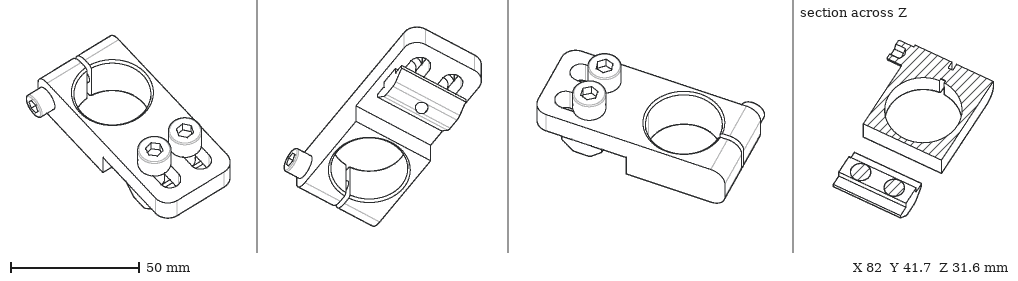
import cadquery as cq
import math

length = 82.0
width = 35.0
block_height = 20.0
plate_thickness = block_height / 2
block_length = 42.0
corner_radius = 6.0
step_z = block_height - plate_thickness

bore_x = 25.0
bore_diameter = 30.0
bore_chamfer = 1.0
split_width = 2.0

clamp_head_diameter = 10.0
clamp_head_height = 6.7
clamp_shank_diameter = 6.0
clamp_socket_flats = 5.0
clamp_socket_tip_depth = 1.6
clamp_x = corner_radius
clamp_z = block_height / 2

screw_x = 62.0
screw_spacing = 15.0
screw_head_diameter = 13.0
screw_head_height = 8.8
screw_shank_diameter = 8.0
screw_socket_flats = 6.0
screw_socket_turns = {-1: 44, 1: 38}
slot_width = 8.5
slot_travel = 10.0

head_rim_radius = 0.5
socket_depth = 4.0

nut_length = 30.0
nut_neck_width = 8.2
nut_width = 17.05
nut_gap = 0.6
nut_neck_height = 2.9
nut_edge_height = 1.7
nut_height = 9.6
nut_keel_radius = 2.8
ball_diameter = 4.9
ball_projection = 2.55


def clamp_body():
    """Stepped block with rounded ends, a chamfered bore and a split."""
    body = (
        cq.Workplane("XZ")
        .polyline([
            (0, 0),
            (block_length, 0),
            (block_length, step_z),
            (length, step_z),
            (length, block_height),
            (0, block_height),
        ])
        .close()
        .extrude(width / 2, both=True)
    )
    body = body.edges("|Y and <X").fillet(corner_radius)
    body = body.edges("|Z and >X").fillet(corner_radius)

    bore = (
        cq.Workplane("XY")
        .center(bore_x, 0)
        .circle(bore_diameter / 2)
        .extrude(block_height)
    )
    rim_radius = bore_diameter / 2 + bore_chamfer
    bottom_cone = cq.Solid.makeCone(rim_radius, 0, rim_radius, cq.Vector(bore_x, 0, 0))
    top_cone = cq.Solid.makeCone(
        rim_radius, 0, rim_radius, cq.Vector(bore_x, 0, block_height), cq.Vector(0, 0, -1)
    )
    split = cq.Workplane("XY").box(
        bore_x, split_width, block_height, centered=(False, True, False)
    )
    return body.cut(bore).cut(bottom_cone).cut(top_cone).cut(split)


def slot(y):
    """Through slot that starts at the plate screw and runs towards the plate end."""
    return (
        cq.Workplane("XY", origin=(screw_x + slot_travel / 2, y, step_z))
        .slot2D(slot_travel + slot_width, slot_width)
        .extrude(plate_thickness)
    )


def cap_screw(head_diameter, head_height, shank_diameter, shank_length, socket_flats, turn, tip_depth=0):
    """Socket-head screw along Z with the underside of its head at the origin."""
    head = (
        cq.Workplane("XY")
        .circle(head_diameter / 2)
        .extrude(head_height)
        .edges(">Z")
        .fillet(head_rim_radius)
    )
    shank = cq.Workplane("XY").circle(shank_diameter / 2).extrude(-shank_length)

    socket_corners = socket_flats / math.cos(math.radians(30))
    socket = cq.Workplane("XY").polygon(6, socket_corners).extrude(-socket_depth - tip_depth)
    if tip_depth > 0:
        drill = (
            cq.Workplane("XZ")
            .polyline([
                (0, 0),
                (socket_corners / 2, 0),
                (socket_corners / 2, -socket_depth),
                (0, -socket_depth - tip_depth),
            ])
            .close()
            .revolve(360, (0, 0), (0, 1))
        )
        socket = socket.intersect(drill)
    socket = socket.rotate((0, 0, 0), (0, 0, 1), turn).translate((0, 0, head_height))
    return head.union(shank).cut(socket)


def clamp_screw():
    """Screw along Y whose head rests on the -Y side and whose shank crosses the split."""
    screw = cap_screw(
        clamp_head_diameter, clamp_head_height, clamp_shank_diameter,
        (width + split_width) / 2, clamp_socket_flats,
        turn=0, tip_depth=clamp_socket_tip_depth,
    )
    return screw.rotate((0, 0, 0), (1, 0, 0), 90).translate((clamp_x, -width / 2, clamp_z))


def plate_screw(side):
    """Vertical screw whose shank passes through its slot into the T-nut."""
    screw = cap_screw(
        screw_head_diameter, screw_head_height, screw_shank_diameter,
        plate_thickness + nut_gap + nut_neck_height,
        screw_socket_flats, screw_socket_turns[side],
    )
    return screw.translate((screw_x, side * screw_spacing / 2, block_height))


def t_nut():
    """Necked nut along Y with a tapered, rounded keel and a ball in its underside."""
    top = step_z - nut_gap
    shoulder = top - nut_neck_height
    edge = shoulder - nut_edge_height
    bottom = top - nut_height
    keel_half_width = nut_width / 2 - (edge - bottom)
    nut = (
        cq.Workplane("XZ", origin=(screw_x, 0, 0))
        .polyline([
            (-nut_neck_width / 2, top),
            (nut_neck_width / 2, top),
            (nut_neck_width / 2, shoulder),
            (nut_width / 2, shoulder),
            (nut_width / 2, edge),
            (keel_half_width, bottom),
            (-keel_half_width, bottom),
            (-nut_width / 2, edge),
            (-nut_width / 2, shoulder),
            (-nut_neck_width / 2, shoulder),
        ])
        .close()
        .extrude(nut_length / 2, both=True)
    )
    nut = nut.faces("<Z").edges("|Y").fillet(nut_keel_radius)
    ball_z = bottom - ball_projection + ball_diameter / 2
    ball = cq.Workplane("XY").sphere(ball_diameter / 2).translate((screw_x, 0, ball_z))
    return nut.union(ball)


result = clamp_body().union(clamp_screw())
for side in (-1, 1):
    result = result.cut(slot(side * screw_spacing / 2))
result = result.union(t_nut())
for side in (-1, 1):
    result = result.union(plate_screw(side))